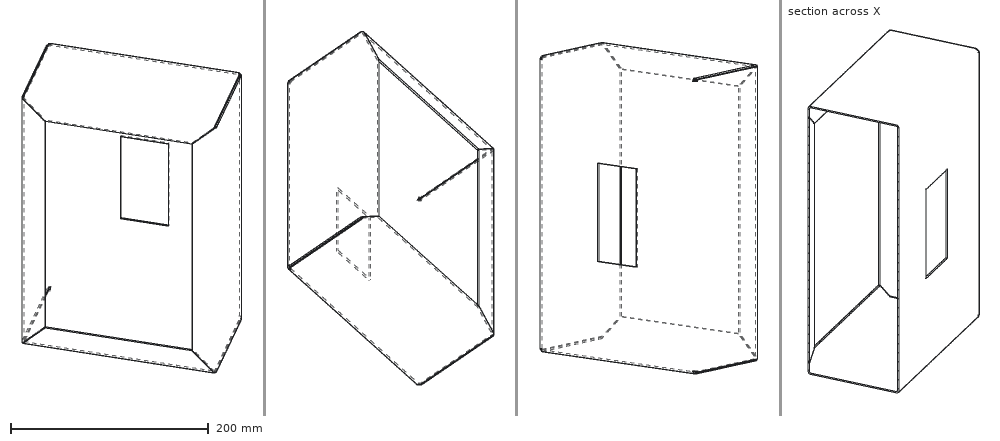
import cadquery as cq

width = 204.0
depth = 102.0
height = 304.0
sheet = 2.0
inner_bend = 1.2
outer_bend = inner_bend + sheet
flange = 25.0
window_width = 50.2
window_height = 101.0
wall_end_inset = 1.8
mitre_gap = 0.3

front_y = -depth / 2
back_y = depth / 2


def wall_profile(reach):
    """Section of one wall: front rim, front bend, flat wall and back bend."""
    outline_end = reach - outer_bend
    return (
        cq.Workplane("YZ")
        .moveTo(front_y, reach - flange)
        .lineTo(front_y, outline_end)
        .radiusArc((front_y + outer_bend, reach), outer_bend)
        .lineTo(back_y - outer_bend, reach)
        .radiusArc((back_y, outline_end), outer_bend)
        .lineTo(back_y - sheet, outline_end)
        .radiusArc((back_y - outer_bend, reach - sheet), -inner_bend)
        .lineTo(front_y + outer_bend, reach - sheet)
        .radiusArc((front_y + sheet, outline_end), -inner_bend)
        .lineTo(front_y + sheet, reach - flange)
        .close()
    )


def upper_wall(length, reach):
    """Wall running along X with its outer face at Z = reach."""
    half = length / 2
    wall = wall_profile(reach).extrude(half, both=True)

    end = half - wall_end_inset
    end_z = reach - wall_end_inset + mitre_gap
    rim_end = half - flange - mitre_gap
    mitre = (
        cq.Workplane("XZ")
        .polyline([
            (-rim_end, reach - flange),
            (-end, end_z),
            (-end, reach),
            (end, reach),
            (end, end_z),
            (rim_end, reach - flange),
        ])
        .close()
        .extrude(depth / 2, both=True)
    )
    wall = wall.intersect(mitre)

    relief_x = half - outer_bend / 2
    relief_y = back_y - outer_bend / 2
    relief = (
        cq.Workplane("XY")
        .pushPoints([(-relief_x, relief_y), (relief_x, relief_y)])
        .rect(outer_bend, outer_bend)
        .extrude(reach)
    )
    return wall.cut(relief)


back_panel = (
    cq.Workplane("XY")
    .box(width - 2 * outer_bend, sheet, height - 2 * outer_bend)
    .translate((0, back_y - sheet / 2, 0))
)
window = cq.Workplane("XY").box(window_width, depth + sheet, window_height)

result = back_panel.cut(window)
for turn in (0, 180):
    top_or_bottom = upper_wall(width, height / 2).rotate((0, 0, 0), (0, 1, 0), turn)
    side = upper_wall(height, width / 2).rotate((0, 0, 0), (0, 1, 0), turn + 90)
    result = result.union(top_or_bottom).union(side)